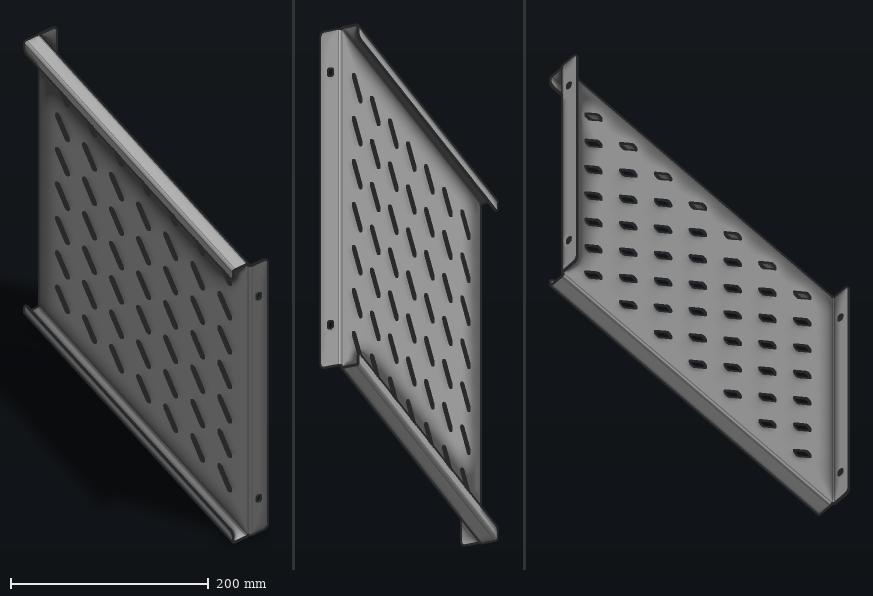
import cadquery as cq

width = 392.0
depth = 41.0
height = 397.0

thickness = 1.5
bend_outer = 3.0
bend_inner = bend_outer - thickness

flat_width = width - 2 * bend_outer
flat_height = height - 2 * bend_outer

front_depth = 20.0
lip_length = 15.0
corner_radius = 5.0

lip_front = -depth / 2
sheet_back = lip_front + front_depth
sheet_front = sheet_back - thickness
flange_rear = depth / 2

vent_count = 7
vent_pitch = 50.0
vent_width = 8.5
vent_center_distance = 22.2
vent_length = vent_center_distance + vent_width
vent_angle = -45

mount_width = 6.0
mount_length = 9.0
mount_spacing = 293.8
mount_setback = 11.5
mount_y = sheet_front + mount_setback


def block(size_x, y_front, y_rear, size_z):
    """Block centred in X and Z, reaching from y_front to y_rear."""
    size_y = y_rear - y_front
    return cq.Workplane("XY").box(size_x, size_y, size_z).translate((0, y_front + size_y / 2, 0))


def flanged_sheet():
    """Sheet with the two side flanges folded backward."""
    outer = block(width, sheet_front, flange_rear, flat_height)
    outer = outer.edges("|Z and <Y").fillet(bend_outer)
    inner = block(width - 2 * thickness, sheet_back, flange_rear, flat_height)
    inner = inner.edges("|Z and <Y").fillet(bend_inner)
    return outer.cut(inner).edges("|X and >Y").fillet(corner_radius)


def lipped_sheet():
    """Sheet with the top and bottom edges folded forward and turned in as lips."""
    outer = block(flat_width, lip_front, sheet_back, height)
    outer = outer.edges("|X").fillet(bend_outer)
    inner = block(flat_width, lip_front + thickness, sheet_front, height - 2 * thickness)
    inner = inner.edges("|X").fillet(bend_inner)
    opening_height = height - 2 * lip_length
    opening = block(flat_width, lip_front, lip_front + thickness, opening_height)
    folded = outer.cut(inner).cut(opening)

    lip_edge = opening_height / 2
    lip_corners = cq.selectors.BoxSelector(
        (-width, lip_front - thickness, -lip_edge - thickness),
        (width, lip_front + 2 * thickness, lip_edge + thickness),
    )
    return folded.edges("|Y").edges(lip_corners).fillet(corner_radius)


def vent_slots():
    """Square grid of diagonal slots through the sheet."""
    return (
        cq.Workplane("XZ", origin=(0, sheet_back, 0))
        .rarray(vent_pitch, vent_pitch, vent_count, vent_count)
        .slot2D(vent_length, vent_width, vent_angle)
        .extrude(thickness)
    )


def mount_slots():
    """Upright slots through both side flanges."""
    return (
        cq.Workplane("YZ")
        .pushPoints([(mount_y, -mount_spacing / 2), (mount_y, mount_spacing / 2)])
        .slot2D(mount_length, mount_width, 90)
        .extrude(width / 2, both=True)
    )


shelf = flanged_sheet().union(lipped_sheet())
result = shelf.cut(vent_slots()).cut(mount_slots())